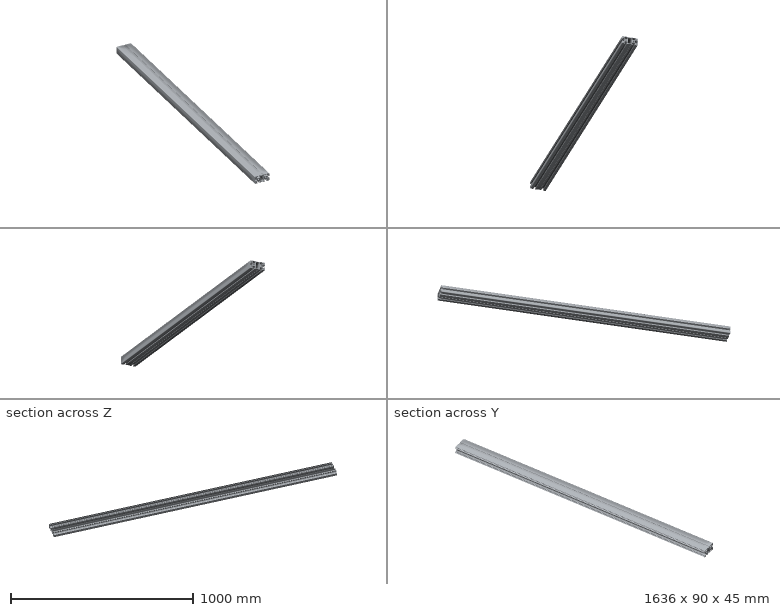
import cadquery as cq

length = 1636.0
width = 90.0
height = width / 2
corner_radius = 3.0
cell_offset = width / 4

mouth_width = 10.6
lip_thickness = 4.1
skin_thickness = 2.0
chamber_width = 20.0
chamber_floor_width = 11.0
chamber_side_depth = 10.0
slot_depth = 15.0

groove_width = 15.0
groove_depth = 2.0

core_bore_diameter = 8.0
corner_hollow_size = 4.1
corner_hollow_inset = 7.0
cavity_width = 21.0
cavity_height = 38.0
cavity_corner = 4.1


def bar(outline):
    """Extrude a Y-Z outline over the full length."""
    return outline.extrude(length / 2, both=True)


def t_slot(y, z, turn, closed):
    """Slot cutter with its mouth at (y, z), facing +Z before it is turned about X by `turn` degrees."""
    mouth_top = -skin_thickness if closed else 0
    half_outline = [
        (mouth_width / 2, mouth_top),
        (mouth_width / 2, -lip_thickness),
        (chamber_width / 2, -lip_thickness),
        (chamber_width / 2, -chamber_side_depth),
        (chamber_floor_width / 2, -slot_depth),
    ]
    other_half = [(-across, level) for across, level in reversed(half_outline)]
    cutter = bar(cq.Workplane("YZ").polyline(half_outline + other_half).close())
    return cutter.rotate((0, 0, 0), (1, 0, 0), turn).translate((0, y, z))


profile = cq.Workplane("XY").box(length, width, height).edges("|X").fillet(corner_radius)

for cell_y in (-cell_offset, cell_offset):
    profile = profile.cut(t_slot(cell_y, height / 2, 0, closed=True))
    profile = profile.cut(t_slot(cell_y, -height / 2, 180, closed=False))
profile = profile.cut(t_slot(width / 2, 0, -90, closed=False))
profile = profile.cut(t_slot(-width / 2, 0, 90, closed=True))

groove = cq.Workplane("XY").box(length, groove_width, 2 * groove_depth)
for face_z in (-height / 2, height / 2):
    profile = profile.cut(groove.translate((0, 0, face_z)))

core_centres = [(-cell_offset, 0), (cell_offset, 0)]
core_bores = bar(cq.Workplane("YZ").pushPoints(core_centres).circle(core_bore_diameter / 2))
profile = profile.cut(core_bores)

corner_hollows = bar(
    cq.Workplane("YZ")
    .rect(width - 2 * corner_hollow_inset, height - 2 * corner_hollow_inset, forConstruction=True)
    .vertices()
    .rect(corner_hollow_size, corner_hollow_size)
)
profile = profile.cut(corner_hollows)

cavity = bar(cq.Workplane("YZ").rect(cavity_width, cavity_height)).edges("|X").chamfer(cavity_corner)
profile = profile.cut(cavity)

result = profile